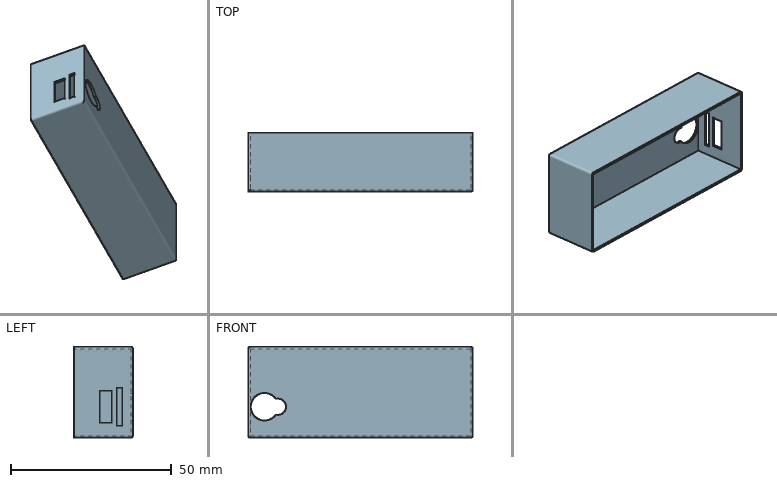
import cadquery as cq

length = 69.9
depth = 18.4
height = 28.4
wall = 0.7
edge_radius = 0.8

port_center_z = 9.7
usb_front = 6.7
usb_width = 3.65
usb_height = 10.0
slot_front = 3.4
slot_width = 1.75
slot_height = 11.8

keyhole_center_x = 5.1
keyhole_radius = 4.25
keyhole_neck_x = 9.25
keyhole_neck_radius = 2.5


def rounded_block():
    """Outer block; the open rear rim and the vertical edge at the connector end stay sharp."""
    block = cq.Workplane("XY").box(length, depth, height, centered=False)
    long_front_edges = block.edges("<Y and |X")
    end_edges = block.edges("|Y")
    far_front_edge = block.edges(">X and <Y and |Z")
    rounded = long_front_edges.add(end_edges).add(far_front_edge)
    return block.newObject(rounded.vals()).fillet(edge_radius)


def cavity():
    """Interior space, open through the rear face."""
    return (
        cq.Workplane("XY")
        .box(length - 2 * wall, depth - wall, height - 2 * wall, centered=False)
        .translate((wall, wall, wall))
    )


def end_opening(front, width, opening_height):
    """Rectangular opening through the connector end wall."""
    return (
        cq.Workplane("XY")
        .box(wall, width, opening_height, centered=False)
        .translate((0, front, port_center_z - opening_height / 2))
    )


def front_hole(center_x, radius):
    """Round opening through the front wall."""
    return (
        cq.Workplane("XZ")
        .center(center_x, port_center_z)
        .circle(radius)
        .extrude(-wall)
    )


result = (
    rounded_block()
    .cut(cavity())
    .cut(end_opening(usb_front, usb_width, usb_height))
    .cut(end_opening(slot_front, slot_width, slot_height))
    .cut(front_hole(keyhole_center_x, keyhole_radius))
    .cut(front_hole(keyhole_neck_x, keyhole_neck_radius))
)